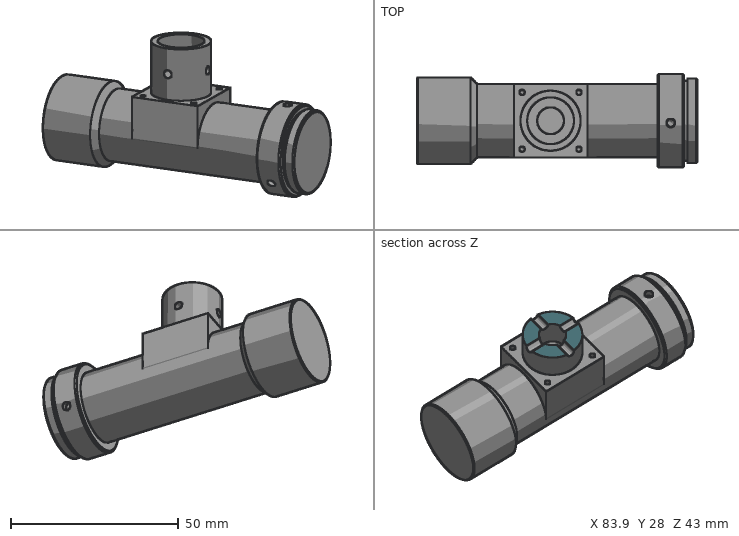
import cadquery as cq
import math

total_length = 83.9
cap_length = 16.0
mount_length = 4.0
ring_length = 8.0
groove_width = 1.0
ring_end = total_length - mount_length
ring_start = ring_end - ring_length
ring_middle = ring_start + ring_length / 2

cap_diameter = 26.0
tube_diameter = 22.0
ring_diameter = 28.0
groove_diameter = 24.0
mount_diameter = 25.4
cap_taper_length = (cap_diameter - tube_diameter) / 2

cap_chamfer = 0.3
ring_chamfer = 0.5
mount_chamfer = 0.5

branch_offset = 2.0
branch_x = total_length / 2 - branch_offset
block_width = tube_diameter
block_top = cap_diameter / 2
block_hole_diameter = 1.6
block_hole_spacing = 17.0
block_hole_depth = 4.0

neck_height = 16.0
neck_top = block_top + neck_height
neck_diameter = 18.0
socket_diameter = 14.0
socket_depth = 5.0
bore_diameter = 8.0
bore_depth = neck_height
cross_hole_diameter = 2.5
cross_hole_z = block_top + neck_height / 2

screw_hole_count = 3
screw_hole_diameter = 2.5
screw_hole_depth = 2.5
screw_hole_start_angle = 3.0

drill_point_angle = 118.0


def body_section(start, end, diameter):
    """Solid cylinder along X between two stations."""
    return cq.Workplane("YZ", origin=(start, 0, 0)).circle(diameter / 2).extrude(end - start)


def drill(diameter, depth):
    """Drill-shaped cutter with its mouth at the origin, pointing down Z."""
    radius = diameter / 2
    point_length = radius / math.tan(math.radians(drill_point_angle / 2))
    return (
        cq.Workplane("XZ")
        .polyline([(0, 0), (radius, 0), (radius, -depth), (0, -depth - point_length)])
        .close()
        .revolve(360, (0, 0, 0), (0, 1, 0))
    )


def make_body():
    cap = body_section(0, cap_length, cap_diameter).faces("<X").chamfer(cap_chamfer)
    taper = (
        cq.Workplane("YZ", origin=(cap_length, 0, 0))
        .circle(cap_diameter / 2)
        .workplane(offset=cap_taper_length)
        .circle(tube_diameter / 2)
        .loft()
    )
    tube = body_section(cap_length, ring_start, tube_diameter)
    ring = body_section(ring_start, ring_end, ring_diameter).edges().chamfer(ring_chamfer)
    groove_end = ring_end + groove_width
    groove = body_section(ring_end, groove_end, groove_diameter)
    mount = body_section(groove_end, total_length, mount_diameter).faces(">X").chamfer(mount_chamfer)
    return cap.union(taper).union(tube).union(ring).union(groove).union(mount)


def make_branch():
    block = (
        cq.Workplane("XY", origin=(branch_x, 0, 0))
        .rect(block_width, block_width)
        .extrude(block_top)
    )
    neck = (
        cq.Workplane("XY", origin=(branch_x, 0, block_top))
        .circle(neck_diameter / 2)
        .extrude(neck_height)
    )
    return block.union(neck)


def cut_neck(part):
    neck_mouth = cq.Workplane("XY", origin=(branch_x, 0, neck_top))
    socket = neck_mouth.circle(socket_diameter / 2).extrude(-socket_depth)
    bore = neck_mouth.circle(bore_diameter / 2).extrude(-bore_depth)
    part = part.cut(socket).cut(bore)
    for plane in ("XZ", "YZ"):
        cross_hole = (
            cq.Workplane(plane, origin=(branch_x, 0, cross_hole_z))
            .circle(cross_hole_diameter / 2)
            .extrude(neck_diameter, both=True)
        )
        part = part.cut(cross_hole)
    return part


def cut_block_holes(part):
    cutter = drill(block_hole_diameter, block_hole_depth)
    offset = block_hole_spacing / 2
    for x in (branch_x - offset, branch_x + offset):
        for y in (-offset, offset):
            part = part.cut(cutter.translate((x, y, block_top)))
    return part


def cut_screw_holes(part):
    cutter = drill(screw_hole_diameter, screw_hole_depth).translate((ring_middle, 0, ring_diameter / 2))
    for index in range(screw_hole_count):
        angle = screw_hole_start_angle + index * 360 / screw_hole_count
        part = part.cut(cutter.rotate((0, 0, 0), (1, 0, 0), angle))
    return part


result = make_body().union(make_branch())
result = cut_neck(result)
result = cut_block_holes(result)
result = cut_screw_holes(result)